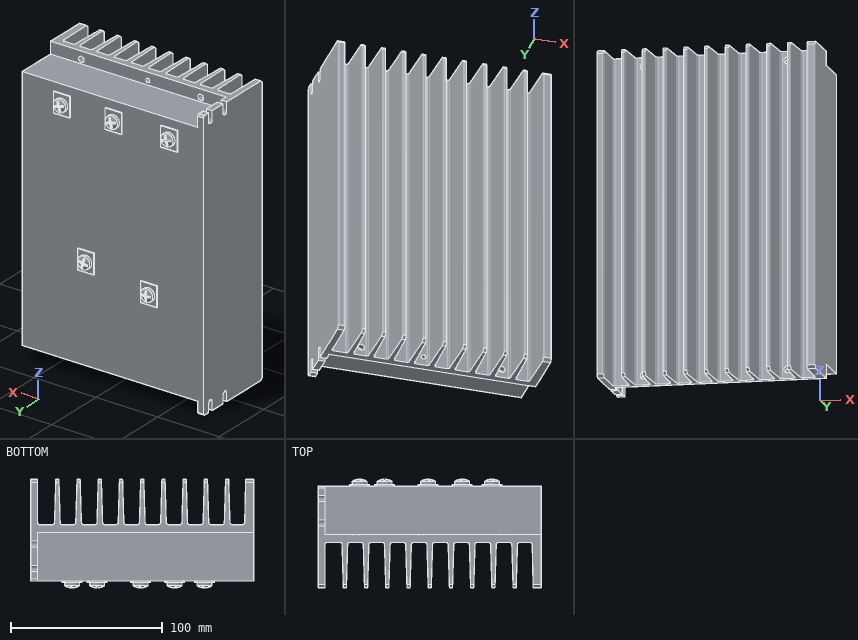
import cadquery as cq


WIDTH = 147.0
LENGTH = 220.0
DEPTH = 67.0

BASE_FRONT = 30.0
BASE_THICKNESS = 5.3
BASE_BACK = BASE_FRONT + BASE_THICKNESS
LEFT_WALL = 4.6
RIGHT_WALL_ROOT = 6.2
RIGHT_WALL_TIP = 5.5
END_CHAMFER = 2.2

FIN_COUNT = 9
OUTER_FIN_X = 55.9
FIN_PITCH = 2 * OUTER_FIN_X / (FIN_COUNT - 1)
FIN_ROOT = 4.0
FIN_TIP = 2.2
TIP_FILLET = 0.7
ROOT_FILLET = 1.3

BLOCK_INSET = 9.5

SLOT_WIDTH = 4.0
SLOT_DEPTH = 8.5
SLOT_SETBACKS = (8.1, 24.5)
WALL_CORNER_CHAMFER = 1.3

HOLE_INSET = 6.2
MOUNTING_HOLE_DIAMETER = 4.5
MOUNTING_HOLE_X = 48.5
PILOT_HOLE_DIAMETER = 3.0
PILOT_HOLE_X = -5.5

PLATE_WIDTH = 13.2
PLATE_LENGTH = 15.8
PLATE_THICKNESS = 0.9
HEAD_DIAMETER = 10.0
HEAD_RIM_HEIGHT = 2.2
SCREW_HEIGHT = 4.6
DRIVE_WIDTH = 1.0
DRIVE_DEPTH = 0.9

UPPER_ROW_Z = 85.8
SCREW_PLACES = (
    (-46.2, UPPER_ROW_Z, 15),
    (-1.0, UPPER_ROW_Z, 15),
    (41.0, UPPER_ROW_Z, 15),
    (-29.7, -33.0, 0),
    (21.3, -23.8, -15),
)

HALF_WIDTH = WIDTH / 2
HALF_LENGTH = LENGTH / 2


def box_between(x_range, y_range, z_range):
    """Box spanning the given (low, high) ranges."""
    size = [high - low for low, high in (x_range, y_range, z_range)]
    corner = (x_range[0], y_range[0], z_range[0])
    return cq.Workplane("XY").box(*size, centered=False).translate(corner)


def extruded_along_length(points):
    """Prism of an XY outline over the full length of the heat sink."""
    return cq.Workplane("XY").workplane(offset=-HALF_LENGTH).polyline(points).close().extrude(LENGTH)


def with_rounded_tip(blade):
    """Round both long edges at the free end of a fin or wall."""
    return blade.faces("<Y").edges("|Z").fillet(TIP_FILLET)


def fin(x):
    """Straight fin tapering from the base to its tip."""
    blade = extruded_along_length([
        (x - FIN_TIP / 2, 0),
        (x + FIN_TIP / 2, 0),
        (x + FIN_ROOT / 2, BASE_FRONT),
        (x - FIN_ROOT / 2, BASE_FRONT),
    ])
    return with_rounded_tip(blade)


def left_wall():
    """Full-depth wall beside the fins and the block."""
    inner = -HALF_WIDTH + LEFT_WALL
    wall = box_between((-HALF_WIDTH, inner), (0, DEPTH), (-HALF_LENGTH, HALF_LENGTH))
    wall = wall.edges("|X and >Y").chamfer(WALL_CORNER_CHAMFER)
    return with_rounded_tip(wall)


def right_wall():
    """Tapered wall closing the fin side only."""
    wall = extruded_along_length([
        (HALF_WIDTH, 0),
        (HALF_WIDTH, BASE_FRONT),
        (HALF_WIDTH - RIGHT_WALL_ROOT, BASE_FRONT),
        (HALF_WIDTH - RIGHT_WALL_TIP, 0),
    ])
    return with_rounded_tip(wall)


def fin_end_wedge(end):
    """Wedge that bevels all fin tips at the top (end = 1) or bottom (end = -1)."""
    tip_z = end * HALF_LENGTH
    points = [(0, tip_z), (END_CHAMFER, tip_z), (0, tip_z - end * END_CHAMFER)]
    return cq.Workplane("YZ").polyline(points).close().extrude(HALF_WIDTH, both=True)


def wall_slot(end, setback):
    """Round-bottomed cutter for one open slot in the end of the left wall."""
    length = 2 * SLOT_DEPTH
    return (
        cq.Workplane("YZ", origin=(-HALF_WIDTH, 0, 0))
        .center(DEPTH - setback, end * HALF_LENGTH)
        .slot2D(length, SLOT_WIDTH, 90)
        .extrude(LEFT_WALL)
    )


def base_hole(x, z, diameter):
    """Cutter for one round hole through the base."""
    return (
        cq.Workplane("XZ", origin=(x, BASE_BACK, z))
        .circle(diameter / 2)
        .extrude(BASE_THICKNESS)
    )


def make_housing():
    """Heat sink and terminal block in one piece."""
    full_x = (-HALF_WIDTH, HALF_WIDTH)
    full_z = (-HALF_LENGTH, HALF_LENGTH)
    sink = box_between(full_x, (BASE_FRONT, BASE_BACK), full_z)
    sink = sink.union(left_wall()).union(right_wall())
    for index in range(FIN_COUNT):
        sink = sink.union(fin(-OUTER_FIN_X + index * FIN_PITCH))

    tolerance = 0.2
    fin_roots = cq.selectors.BoxSelector(
        (-HALF_WIDTH + tolerance, BASE_FRONT - tolerance, -LENGTH),
        (HALF_WIDTH - tolerance, BASE_FRONT + tolerance, LENGTH),
    )
    sink = sink.edges("|Z").edges(fin_roots).fillet(ROOT_FILLET)

    block_z = HALF_LENGTH - BLOCK_INSET
    block = box_between(
        (-HALF_WIDTH + LEFT_WALL, HALF_WIDTH),
        (BASE_BACK, DEPTH),
        (-block_z, block_z),
    )
    body = sink.union(block)

    for end in (1, -1):
        body = body.cut(fin_end_wedge(end))
        for setback in SLOT_SETBACKS:
            body = body.cut(wall_slot(end, setback))
        hole_z = end * (HALF_LENGTH - HOLE_INSET)
        for x in (-MOUNTING_HOLE_X, MOUNTING_HOLE_X):
            body = body.cut(base_hole(x, hole_z, MOUNTING_HOLE_DIAMETER))
        body = body.cut(base_hole(PILOT_HOLE_X, hole_z, PILOT_HOLE_DIAMETER))
    return body


def make_screw(x, z, turn):
    """Terminal screw seated on the back face of the block, head toward +Y."""
    plate = cq.Workplane("XY").box(PLATE_WIDTH, PLATE_LENGTH, PLATE_THICKNESS, centered=(True, True, False))

    head_radius = HEAD_DIAMETER / 2
    rim_top = PLATE_THICKNESS + HEAD_RIM_HEIGHT
    dome_height = SCREW_HEIGHT - rim_top
    sphere_radius = (head_radius**2 + dome_height**2) / (2 * dome_height)
    sphere = cq.Workplane("XY").sphere(sphere_radius).translate((0, 0, SCREW_HEIGHT - sphere_radius))
    head = (
        cq.Workplane("XY")
        .workplane(offset=PLATE_THICKNESS)
        .circle(head_radius)
        .extrude(HEAD_RIM_HEIGHT + dome_height)
        .intersect(sphere)
    )

    drive = (
        cq.Workplane("XY")
        .workplane(offset=SCREW_HEIGHT - DRIVE_DEPTH)
        .rect(HEAD_DIAMETER, DRIVE_WIDTH)
        .extrude(DRIVE_DEPTH)
    )
    for angle in (turn, turn + 90):
        head = head.cut(drive.rotate((0, 0, 0), (0, 0, 1), angle))

    screw = plate.union(head)
    return screw.rotate((0, 0, 0), (1, 0, 0), -90).translate((x, DEPTH, z))


housing = make_housing()
screws = [make_screw(x, z, turn) for x, z, turn in SCREW_PLACES]

result = cq.Compound.makeCompound([housing.val(), *[screw.val() for screw in screws]])